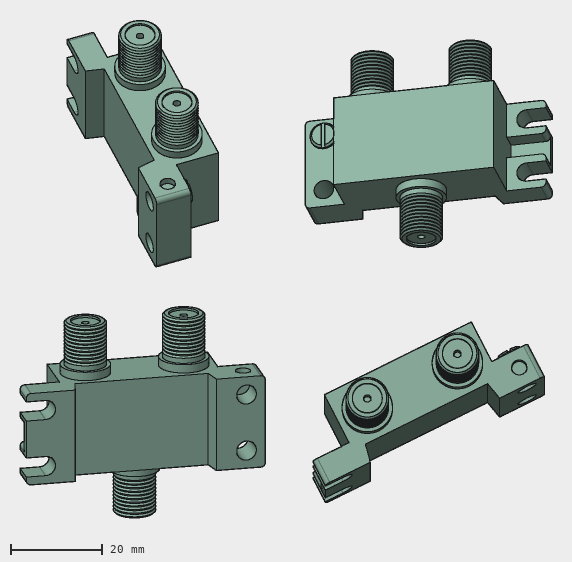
import cadquery as cq

LENGTH = 53.5
DEPTH = 17.9
HEIGHT = 21.15
CENTER_X = 26.75
BODY_WIDTH = 35.9
BODY_LEFT = CENTER_X - BODY_WIDTH / 2
BODY_RIGHT = CENTER_X + BODY_WIDTH / 2
SLOT_LUG_DEPTH = 6.0
SCREW_LUG_DEPTH = 8.1
CORNER_RADIUS = 1.05

CHANNEL_DEPTH = 4.05
CHANNEL_MOUTH_WIDTH = 31.55
CHANNEL_FLOOR_WIDTH = 29.8

FIXING_Z = 6.5
FIXING_RADIUS = 2.2
SLOT_CENTER_X = 4.35
HOLE_X = 49.3

POCKET_FLOOR_Y = 2.0
POCKET_HEIGHT = 5.0
POCKET_MOUTH_RADIUS = 1.0

SCREW_HEAD_RADIUS = 3.0
SCREW_HEAD_HEIGHT = 0.95
SCREW_HEAD_CHAMFER = 0.5
SCREW_SLOT_WIDTH = 0.75
SCREW_SLOT_DEPTH = 0.5
SCREW_SHANK_LENGTH = 1.6
WIRE_HOLE_X = 49.45
WIRE_HOLE_Y = 4.15
WIRE_HOLE_RADIUS = 1.65
WIRE_HOLE_DEPTH = 1.6

CONNECTOR_Y = 10.9
CONNECTOR_SPACING = 22.0
CONNECTOR_LENGTH = 11.95
COLLAR_RADIUS = 5.5
COLLAR_LENGTH = 1.9
SHANK_RADIUS = 4.65
SHANK_END = COLLAR_LENGTH + 1.2
THREAD_ROOT_RADIUS = 4.3
THREAD_COUNT = 10
TIP_CHAMFER = 0.45
BORE_RADIUS = 3.25
BORE_DEPTH = 0.5
PIN_HOLE_RADIUS = 0.8
PIN_HOLE_DEPTH = 2.15


def housing():
    """Stepped block with a lug at each end and a channel in the mounting face."""
    outline = [
        (0, 0),
        (CENTER_X - CHANNEL_MOUTH_WIDTH / 2, 0),
        (CENTER_X - CHANNEL_FLOOR_WIDTH / 2, CHANNEL_DEPTH),
        (CENTER_X + CHANNEL_FLOOR_WIDTH / 2, CHANNEL_DEPTH),
        (CENTER_X + CHANNEL_MOUTH_WIDTH / 2, 0),
        (LENGTH, 0),
        (LENGTH, SCREW_LUG_DEPTH),
        (BODY_RIGHT, SCREW_LUG_DEPTH),
        (BODY_RIGHT, DEPTH),
        (BODY_LEFT, DEPTH),
        (BODY_LEFT, SLOT_LUG_DEPTH),
        (0, SLOT_LUG_DEPTH),
    ]
    block = cq.Workplane("XY").polyline(outline).close().extrude(HEIGHT / 2, both=True)
    end_corners = block.faces("<X or >X").edges("|Y")
    return block.newObject(end_corners.vals()).fillet(CORNER_RADIUS)


def cylinder_along_y(x, z, radius, y_start, length):
    base = cq.Vector(x, y_start, z)
    return cq.Workplane(cq.Solid.makeCylinder(radius, length, base, cq.Vector(0, 1, 0)))


def mounting_slot(z):
    """Round-ended slot through the left lug, open at the lug end."""
    straight = (
        cq.Workplane("XY")
        .box(SLOT_CENTER_X, SLOT_LUG_DEPTH, 2 * FIXING_RADIUS, centered=(False, False, True))
        .translate((0, 0, z))
    )
    return straight.union(cylinder_along_y(SLOT_CENTER_X, z, FIXING_RADIUS, 0, SLOT_LUG_DEPTH))


def lug_pocket():
    """Pocket reaching back to the body wall, its mouth flared by convex rounds."""
    half = POCKET_HEIGHT / 2
    flared = half + POCKET_MOUTH_RADIUS
    bend = POCKET_MOUTH_RADIUS * (1 - 0.5**0.5)
    profile = (
        cq.Workplane("XZ", origin=(0, POCKET_FLOOR_Y, 0))
        .moveTo(0, -flared)
        .threePointArc((bend, -half - bend), (POCKET_MOUTH_RADIUS, -half))
        .lineTo(BODY_LEFT, -half)
        .lineTo(BODY_LEFT, half)
        .lineTo(POCKET_MOUTH_RADIUS, half)
        .threePointArc((bend, half + bend), (0, flared))
        .close()
    )
    return profile.extrude(POCKET_FLOOR_Y - SLOT_LUG_DEPTH)


def grounding_screw():
    """Slotted screw head on the back of the right lug, with its shank plugging the upper hole."""
    head = (
        cylinder_along_y(HOLE_X, FIXING_Z, SCREW_HEAD_RADIUS, SCREW_LUG_DEPTH, SCREW_HEAD_HEIGHT)
        .faces(">Y")
        .chamfer(SCREW_HEAD_CHAMFER)
    )
    driver_slot = cq.Workplane("XY").box(SCREW_SLOT_WIDTH, 2 * SCREW_SLOT_DEPTH, 2 * SCREW_HEAD_RADIUS)
    head_top = SCREW_LUG_DEPTH + SCREW_HEAD_HEIGHT
    shank_start = SCREW_LUG_DEPTH - SCREW_SHANK_LENGTH
    shank = cylinder_along_y(HOLE_X, FIXING_Z, FIXING_RADIUS, shank_start, SCREW_SHANK_LENGTH)
    return head.cut(driver_slot.translate((HOLE_X, head_top, FIXING_Z))).union(shank)


def connector():
    """Connector standing on Z = 0: collar, plain shank, ring threads, chamfered tip and stepped bore."""
    thread_end = CONNECTOR_LENGTH - TIP_CHAMFER
    pitch = (thread_end - SHANK_END) / THREAD_COUNT
    bore_floor = CONNECTOR_LENGTH - BORE_DEPTH
    pin_floor = bore_floor - PIN_HOLE_DEPTH

    profile = [
        (0, 0),
        (COLLAR_RADIUS, 0),
        (COLLAR_RADIUS, COLLAR_LENGTH),
        (SHANK_RADIUS, COLLAR_LENGTH),
        (SHANK_RADIUS, SHANK_END),
    ]
    for turn in range(THREAD_COUNT):
        profile.append((THREAD_ROOT_RADIUS, SHANK_END + (turn + 0.5) * pitch))
        profile.append((SHANK_RADIUS, SHANK_END + (turn + 1) * pitch))
    profile += [
        (SHANK_RADIUS - TIP_CHAMFER, CONNECTOR_LENGTH),
        (BORE_RADIUS, CONNECTOR_LENGTH),
        (BORE_RADIUS, bore_floor),
        (PIN_HOLE_RADIUS, bore_floor),
        (PIN_HOLE_RADIUS, pin_floor),
        (0, pin_floor),
    ]
    return cq.Workplane("XZ").polyline(profile).close().revolve(360, (0, 0, 0), (0, 1, 0))


result = housing().cut(lug_pocket())

for fixing_z in (-FIXING_Z, FIXING_Z):
    result = result.cut(mounting_slot(fixing_z))
    result = result.cut(cylinder_along_y(HOLE_X, fixing_z, FIXING_RADIUS, 0, SCREW_LUG_DEPTH))

wire_hole = (
    cq.Workplane("XY", origin=(WIRE_HOLE_X, WIRE_HOLE_Y, HEIGHT / 2))
    .circle(WIRE_HOLE_RADIUS)
    .extrude(-WIRE_HOLE_DEPTH)
)
result = result.cut(wire_hole).union(grounding_screw())

for side in (-1, 1):
    output_x = CENTER_X + side * CONNECTOR_SPACING / 2
    result = result.union(connector().translate((output_x, CONNECTOR_Y, HEIGHT / 2)))

input_connector = connector().rotate((0, 0, 0), (1, 0, 0), 180)
result = result.union(input_connector.translate((CENTER_X, CONNECTOR_Y, -HEIGHT / 2)))